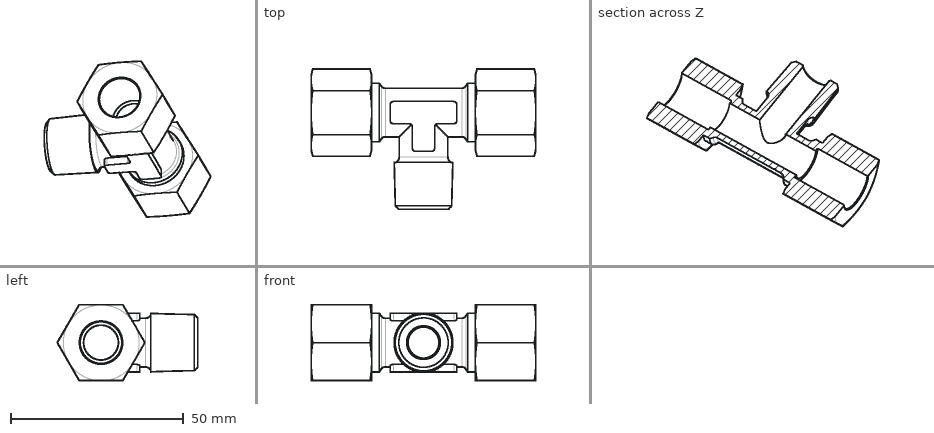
import cadquery as cq
import math

run_length = 65.0
branch_reach = 28.0

nut_flats = 22.0
nut_length = 17.5
nut_corner_radius = nut_flats / math.sqrt(3)
nut_chamfer_length = 0.45

tube_radius = 14.2 / 2
collar_radius = 17.0 / 2
collar_inner_end = 12.8
cone_angle = math.radians(55)
neck_fillet = 1.3

spigot_start = 14.35
spigot_tip_radius = 8.2
spigot_chamfer = 1.05
shoulder_fillet_length = 1.55
shoulder_fillet_rise = 0.85

pad_half_length = 9.7
pad_width = 6.45
pad_reach = 11.25
pad_corner_radius = 1.0
pad_height = 2 * collar_radius

run_bore = 10.0
socket_bore = 12.0
socket_depth = nut_length
branch_bore = 9.0
bore_chamfer_angle = 45
bore_chamfer = 0.25
branch_bore_chamfer = 0.4

half_run = run_length / 2
nut_inner_end = half_run - nut_length


def make_nut():
    """Hexagonal nut on +X, with its corners turned off conically at both ends."""
    hexagon = (
        cq.Workplane("YZ", origin=(nut_inner_end, 0, 0))
        .polygon(6, 2 * nut_corner_radius)
        .extrude(nut_length)
    )
    turned_envelope = (
        cq.Workplane("XY")
        .moveTo(nut_inner_end, 0)
        .lineTo(nut_inner_end, nut_flats / 2)
        .lineTo(nut_inner_end + nut_chamfer_length, nut_corner_radius)
        .lineTo(half_run - nut_chamfer_length, nut_corner_radius)
        .lineTo(half_run, nut_flats / 2)
        .lineTo(half_run, 0)
        .close()
        .revolve(360, (0, 0, 0), (1, 0, 0))
    )
    return hexagon.intersect(turned_envelope)


def make_collar():
    """Collar next to the +X nut, reached from the tube through a fillet and a cone."""
    def neck_rise(angle):
        return neck_fillet * (1 - math.cos(angle))

    arc_end_radius = tube_radius + neck_rise(cone_angle)
    cone_length = (collar_radius - arc_end_radius) / math.tan(cone_angle)
    arc_end = collar_inner_end - cone_length
    arc_start = arc_end - neck_fillet * math.sin(cone_angle)
    arc_middle = (
        arc_start + neck_fillet * math.sin(cone_angle / 2),
        tube_radius + neck_rise(cone_angle / 2),
    )
    return (
        cq.Workplane("XY")
        .moveTo(arc_start, 0)
        .lineTo(arc_start, tube_radius)
        .threePointArc(arc_middle, (arc_end, arc_end_radius))
        .lineTo(collar_inner_end, collar_radius)
        .lineTo(nut_inner_end, collar_radius)
        .lineTo(nut_inner_end, 0)
        .close()
        .revolve(360, (0, 0, 0), (1, 0, 0))
    )


def make_run_tube():
    """Plain tube blank along X between the two nuts."""
    return (
        cq.Workplane("YZ", origin=(-nut_inner_end, 0, 0))
        .circle(tube_radius)
        .extrude(2 * nut_inner_end)
    )


def make_branch():
    """Branch tube with a filleted shoulder and a tapered, chamfered spigot."""
    fillet_start = (tube_radius, shoulder_fillet_length - spigot_start)
    return (
        cq.Workplane("XY")
        .lineTo(tube_radius, 0)
        .lineTo(*fillet_start)
        .tangentArcPoint((tube_radius + shoulder_fillet_rise, -spigot_start), relative=False)
        .lineTo(collar_radius, -spigot_start)
        .lineTo(spigot_tip_radius, spigot_chamfer - branch_reach)
        .lineTo(spigot_tip_radius - spigot_chamfer, -branch_reach)
        .lineTo(0, -branch_reach)
        .close()
        .revolve(360, (0, 0, 0), (0, 1, 0))
    )


def make_pads():
    """T-shaped prism through the body whose two ends form the raised pads."""
    bar = cq.Workplane("XY").box(2 * pad_half_length, pad_width, pad_height)
    stem = (
        cq.Workplane("XY")
        .center(0, -pad_reach / 2)
        .box(pad_width, pad_reach, pad_height)
    )
    return bar.union(stem).edges("|Z").fillet(pad_corner_radius)


def make_bore(direction, mouth, diameter, depth, chamfer):
    """Blind bore cutter going inward along the given direction, chamfered at its mouth."""
    workplane = cq.Workplane(cq.Plane(mouth, xDir=(0, 0, 1), normal=direction))
    bore = workplane.circle(diameter / 2).extrude(depth)
    flare = workplane.circle(diameter / 2 + chamfer).extrude(chamfer, taper=bore_chamfer_angle)
    return bore.union(flare)


body = make_run_tube().union(make_branch()).union(make_pads())
run_side = make_collar().union(make_nut())
for side in (run_side, run_side.mirror("YZ")):
    body = body.union(side)

run_bore_start = cq.Workplane("YZ", origin=(-half_run, 0, 0))
body = body.cut(run_bore_start.circle(run_bore / 2).extrude(run_length))
for sign in (-1, 1):
    mouth = (sign * half_run, 0, 0)
    body = body.cut(make_bore((-sign, 0, 0), mouth, socket_bore, socket_depth, bore_chamfer))

branch_mouth = (0, -branch_reach, 0)
result = body.cut(make_bore((0, 1, 0), branch_mouth, branch_bore, branch_reach, branch_bore_chamfer))